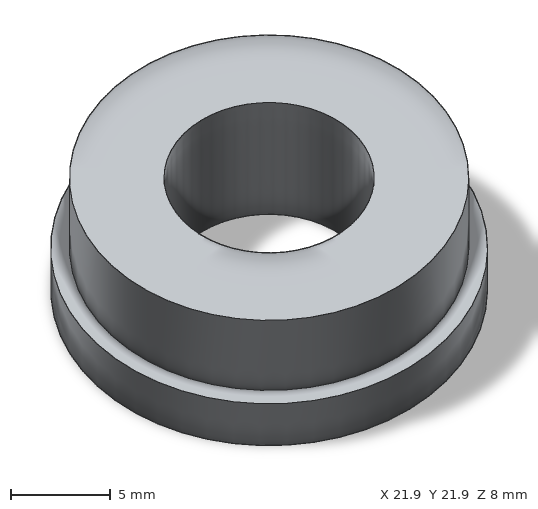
import cadquery as cq

flange_diameter = 21.88
body_diameter = 20.0
bore_diameter = 10.52
total_height = 8.0
flange_height = 3.0
body_height = total_height - flange_height

flange = (
    cq.Workplane("XY")
    .workplane(offset=-total_height / 2)
    .circle(flange_diameter / 2)
    .extrude(flange_height)
)

bushing = flange.faces(">Z").workplane().circle(body_diameter / 2).extrude(body_height)

result = bushing.faces(">Z").workplane().hole(bore_diameter)